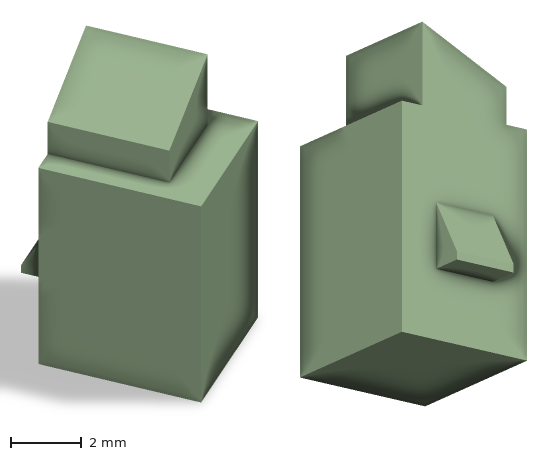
import cadquery as cq

body_length = 4.94
body_width = 4.35
body_height = 6.885

head_length = 3.7
head_width = 2.93
head_low_top = 8.01
head_high_top = 9.38

latch_reach = 1.0
latch_width = 1.97
latch_bottom = 2.11
latch_lip = 0.25
latch_top = 4.09


def make_body():
    return cq.Workplane("XY").box(
        body_length, body_width, body_height, centered=(False, True, False)
    )


def make_head():
    """Extrude the head profile along X; it rises from the -Y side to the +Y side."""
    half_width = head_width / 2
    profile = [
        (-half_width, body_height),
        (half_width, body_height),
        (half_width, head_high_top),
        (-half_width, head_low_top),
    ]
    return cq.Workplane("YZ").polyline(profile).close().extrude(head_length)


def make_latch():
    """Extrude the wedge profile symmetrically about the Y centre plane."""
    profile = [
        (0, latch_bottom),
        (-latch_reach, latch_bottom),
        (-latch_reach, latch_bottom + latch_lip),
        (0, latch_top),
    ]
    return cq.Workplane("XZ").polyline(profile).close().extrude(latch_width / 2, both=True)


result = make_body().union(make_head()).union(make_latch())